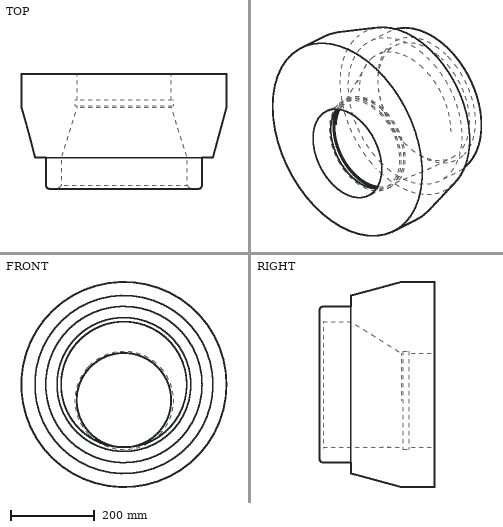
import cadquery as cq
body_diameter = 490.0
shoulder_diameter = 425.0
nozzle_diameter = 373.0
nozzle_length = 75.0
taper_length = 120.0
rim_length = 80.0
nozzle_fillet = 10.0

bore_diameter = 300.0
outlet_diameter = 225.0
mouth_chamfer = 10.0
bore_depth = nozzle_length
outlet_length = rim_length

groove_offset = 4.5
groove_width = 13.5
groove_depth = 5.0

shoulder_y = nozzle_length
rim_y = shoulder_y + taper_length
back_y = rim_y + rim_length
outlet_y = back_y - outlet_length

outlet_z = (outlet_diameter - bore_diameter) / 2


def disc_plane(y, z=0.0):
    """Plane across the axis at the given place, extruding toward the back (+Y)."""
    return cq.Plane(origin=(0, y, z), xDir=(-1, 0, 0), normal=(0, 1, 0))


def turned_body():
    """Outer shape: rounded nozzle, flat shoulder, taper and cylindrical rim."""
    nozzle_radius = nozzle_diameter / 2
    profile = (
        cq.Workplane("XY")
        .lineTo(nozzle_radius, 0)
        .lineTo(nozzle_radius, shoulder_y)
        .lineTo(shoulder_diameter / 2, shoulder_y)
        .lineTo(body_diameter / 2, rim_y)
        .lineTo(body_diameter / 2, back_y)
        .lineTo(0, back_y)
        .close()
    )
    return profile.revolve(360, (0, 0, 0), (0, 1, 0)).faces("<Y").edges().fillet(nozzle_fillet)


def straight_bore():
    """Cylindrical bore with a chamfered mouth."""
    bore_radius = bore_diameter / 2
    profile = (
        cq.Workplane("XY")
        .lineTo(bore_radius + mouth_chamfer, 0)
        .lineTo(bore_radius, mouth_chamfer)
        .lineTo(bore_radius, bore_depth)
        .lineTo(0, bore_depth)
        .close()
    )
    return profile.revolve(360, (0, 0, 0), (0, 1, 0))


def eccentric_reducer():
    """Slanted cone from the end of the bore to the lowered outlet."""
    wide_end = cq.Workplane(disc_plane(bore_depth)).circle(bore_diameter / 2).wires().val()
    narrow_end = cq.Workplane(disc_plane(outlet_y, outlet_z)).circle(outlet_diameter / 2).wires().val()
    return cq.Workplane(cq.Solid.makeLoft([wide_end, narrow_end], True))


def outlet():
    """Cylindrical hole through the back face."""
    return cq.Workplane(disc_plane(outlet_y, outlet_z)).circle(outlet_diameter / 2).extrude(outlet_length)


def outlet_groove():
    """Ring groove in the outlet, close behind the narrow end of the cone."""
    groove_plane = disc_plane(outlet_y + groove_offset, outlet_z)
    return cq.Workplane(groove_plane).circle(outlet_diameter / 2 + groove_depth).extrude(groove_width)


result = (
    turned_body()
    .cut(straight_bore())
    .cut(eccentric_reducer())
    .cut(outlet())
    .cut(outlet_groove())
)